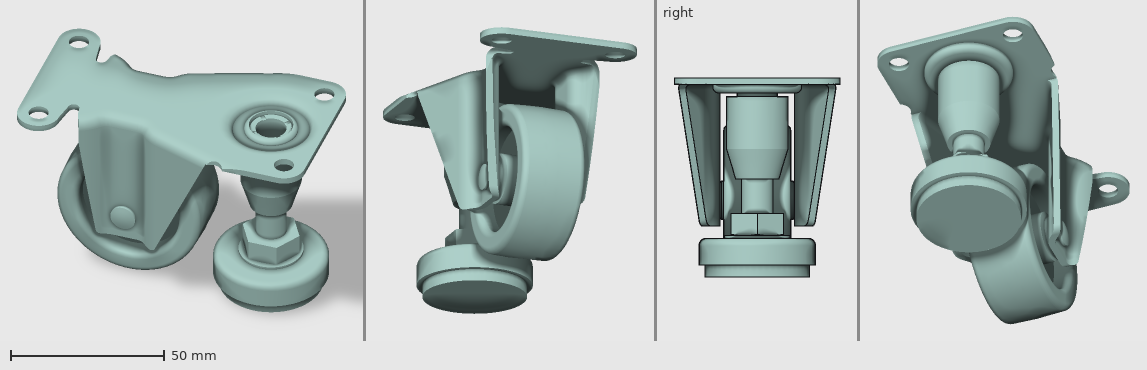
import cadquery as cq
import math


plate_top = 65.0
sheet = 2.2
plate_bottom = plate_top - sheet
half_width = 27.0
corner_radius = 7.1
hole_radius = 3.3
rear_hole_x = -27.4
front_hole_x = 57.3
hole_y = half_width - corner_radius
plate_rear = rear_hole_x - corner_radius
plate_front = front_hole_x + corner_radius

slot_x = -17.5
slot_radius = 1.9
slot_round_y = 13.8

notch_x = 34.9
notch_y = 28.7
notch_radius = 3.9

bend_radius = 4.0
bend_inner_radius = bend_radius - sheet
bend_line_y = 10.3
leg_outer_y = bend_line_y + bend_radius
leg_inner_y = leg_outer_y - sheet
waist_half_length = 4.5
waist_radius = 8.1
waist_turn = 48
front_turn_radius = 8.2
front_heading = 19.3
rear_turn_radius = 12.5
rear_heading = 22
leg_bottom = 16.6
leg_top = plate_top - bend_radius
leg_corner_radius = 3.0
leg_rear_top_x = -14.3
leg_rear_bottom_x = -8.4
leg_front_top_x = 32.1
leg_front_bottom_x = 11.6

foot_x = 45.9
dish_radius = 17.1
dish_floor_radius = 12.5
dish_wall_radius = 14.5
dish_depth = 2.8
dish_floor = plate_top - dish_depth
dish_underside_fillet = 2.0

wheel_radius = 25.0
axle_z = wheel_radius
wheel_half_width = 10.9
tread_half_width = 9.0
tread_edge_radius = 24.7
tyre_side_radius = 22.6
rim_side_radius = 19.5
rim_inner_radius = 17.4
web_half_thickness = 5.0
hub_radius = 8.3
hub_half_width = 10.3
boss_radius = 6.3
boss_chamfer = 0.5
axle_radius = 3.0
head_radius = 4.3
head_rim = 1.1
head_height = 1.9

sleeve_radius = 10.0
sleeve_top = 58.8
cone_top = 41.7
sleeve_bottom = 31.9
cone_end_radius = 7.1
neck_radius = 6.6
collar_radius = 8.8
collar_rim_radius = 7.3
collar_height = 2.0
lip_radius = 6.8
lip_inner_height = 0.6
lip_outer_height = 0.9
groove_height = 0.3
slit_width = 1.5
slit_count = 4

bolt_radius = 5.1
bolt_top = 44.7
hex_flats = 17.0
hex_bottom = 13.5
hex_top = 20.8
hex_chamfer = 0.4
flange_radius = 10.6
cap_radius = 19.0
cap_bottom = 3.9
cap_top = 12.6
cap_fillet = 2.4
pad_radius = 17.1


def straight(point, heading, length):
    """End of a straight run."""
    angle = math.radians(heading)
    return (point[0] + length * math.cos(angle), point[1] + length * math.sin(angle))


def turn(point, heading, new_heading, radius):
    """Middle and end of a tangent arc that swings from one heading to another."""
    side = math.copysign(1, new_heading - heading)
    centre = straight(point, heading + side * 90, radius)
    middle = straight(centre, (heading + new_heading) / 2 - side * 90, radius)
    end = straight(centre, new_heading - side * 90, radius)
    return middle, end


waist_centre = (0, bend_line_y)
waist_end = (waist_half_length, bend_line_y)
waist_mid, waist_out = turn(waist_end, 0, waist_turn, waist_radius)
front_mid, front_out = turn(waist_out, waist_turn, front_heading, front_turn_radius)
front_run = (half_width - front_out[1]) / math.sin(math.radians(front_heading))
front_end = straight(front_out, front_heading, front_run)
rear_mid, rear_out = turn(waist_out, waist_turn, rear_heading, rear_turn_radius)


def opposite(point):
    """The same point on the rear side of the waist."""
    return (-point[0], point[1])


def make_plate_half():
    """Flat part of the plate on the +Y side, bounded by the bend line."""
    slot_left = slot_x - slot_radius
    slot_right = slot_x + slot_radius
    corner_reach = corner_radius * math.sqrt(0.5)
    return (
        cq.Workplane("XY", origin=(0, 0, plate_bottom))
        .moveTo(plate_rear, 0)
        .lineTo(plate_rear, hole_y)
        .threePointArc((rear_hole_x, half_width), (rear_hole_x + corner_radius, hole_y))
        .lineTo(slot_left, slot_round_y)
        .threePointArc((slot_x, slot_round_y - slot_radius), (slot_right, slot_round_y))
        .lineTo(*opposite(rear_out))
        .threePointArc(opposite(rear_mid), opposite(waist_out))
        .threePointArc(opposite(waist_mid), opposite(waist_end))
        .lineTo(*waist_end)
        .threePointArc(waist_mid, waist_out)
        .threePointArc(front_mid, front_out)
        .lineTo(*front_end)
        .lineTo(front_hole_x, half_width)
        .threePointArc(
            (front_hole_x + corner_reach, hole_y + corner_reach), (plate_front, hole_y)
        )
        .lineTo(plate_front, 0)
        .close()
        .extrude(sheet)
    )


def start_bend_path(second_mid, second_end):
    """Bend line from the waist centre through its two arcs."""
    return (
        cq.Workplane("XY", origin=(0, 0, plate_top))
        .moveTo(*waist_centre)
        .lineTo(*waist_end)
        .threePointArc(waist_mid, waist_out)
        .threePointArc(second_mid, second_end)
    )


def sweep_leg_section(path):
    """Quarter-round bend and the wall below it, swept along the bend line."""
    bend_centre_z = plate_top - bend_radius
    outer_reach = bend_radius * math.sqrt(0.5)
    inner_reach = bend_inner_radius * math.sqrt(0.5)
    return (
        cq.Workplane("YZ")
        .moveTo(bend_line_y, plate_top)
        .threePointArc(
            (bend_line_y + outer_reach, bend_centre_z + outer_reach), (leg_outer_y, bend_centre_z)
        )
        .lineTo(leg_outer_y, leg_bottom)
        .lineTo(leg_inner_y, leg_bottom)
        .lineTo(leg_inner_y, bend_centre_z)
        .threePointArc(
            (bend_line_y + inner_reach, bend_centre_z + inner_reach), (bend_line_y, plate_bottom)
        )
        .close()
        .sweep(path.wire())
    )


def make_leg_outline():
    """Side outline of a leg: tapered below the bend, and only sheet deep in front of it."""
    return (
        cq.Workplane("XZ")
        .polyline([
            (plate_rear, plate_top),
            (plate_front, plate_top),
            (plate_front, plate_bottom),
            (leg_front_top_x, plate_bottom),
            (leg_front_bottom_x, leg_bottom),
            (leg_rear_bottom_x, leg_bottom),
            (leg_rear_top_x, leg_top),
            (plate_rear, leg_top),
        ])
        .close()
        .extrude(-half_width)
        .edges("|Y and <Z")
        .fillet(leg_corner_radius)
    )


def make_leg():
    """Leg on the +Y side."""
    front_wing = sweep_leg_section(start_bend_path(front_mid, front_out).lineTo(*front_end))
    rear_wing = sweep_leg_section(start_bend_path(rear_mid, rear_out)).mirror("YZ")
    notch = (
        cq.Workplane("XY", origin=(notch_x, notch_y, leg_top))
        .circle(notch_radius)
        .extrude(bend_radius)
    )
    return front_wing.union(rear_wing).intersect(make_leg_outline()).cut(notch)


def make_dish():
    """Ring-shaped dish: a rounded rim above, a straight wall with a rounded edge below."""
    reach = dish_radius - dish_floor_radius
    rim_arc = (reach**2 + dish_depth**2) / (2 * dish_depth)
    half_angle = math.asin(reach / rim_arc) / 2
    rim_mid = (
        dish_radius - rim_arc * math.sin(half_angle),
        plate_top - rim_arc * (1 - math.cos(half_angle)),
    )
    underside = dish_floor - sheet
    underside_radius = dish_wall_radius - dish_underside_fillet
    fillet_reach = dish_underside_fillet * math.sqrt(0.5)
    fillet_centre_z = underside + dish_underside_fillet
    return (
        cq.Workplane("XZ", origin=(foot_x, 0, 0))
        .moveTo(neck_radius, dish_floor)
        .lineTo(dish_floor_radius, dish_floor)
        .threePointArc(rim_mid, (dish_radius, plate_top))
        .lineTo(dish_radius, plate_bottom)
        .lineTo(dish_wall_radius, plate_bottom)
        .lineTo(dish_wall_radius, fillet_centre_z)
        .threePointArc(
            (underside_radius + fillet_reach, fillet_centre_z - fillet_reach),
            (underside_radius, underside),
        )
        .lineTo(neck_radius, underside)
        .close()
        .revolve(360, (0, 0, 0), (0, 1, 0))
    )


def make_bracket():
    half = make_plate_half().union(make_leg())
    bracket = half.union(half.mirror("XZ"))
    dish_opening = (
        cq.Workplane("XY", origin=(foot_x, 0, plate_bottom)).circle(dish_radius).extrude(sheet)
    )
    bracket = bracket.cut(dish_opening).union(make_dish())
    mounting_holes = (
        cq.Workplane("XY", origin=(0, 0, plate_bottom))
        .pushPoints([(x, side * hole_y) for x in (rear_hole_x, front_hole_x) for side in (-1, 1)])
        .circle(hole_radius)
        .extrude(sheet)
    )
    axle_hole = (
        cq.Workplane("XZ", origin=(0, 0, axle_z)).circle(axle_radius).extrude(leg_outer_y, both=True)
    )
    return bracket.cut(mounting_holes).cut(axle_hole)


def make_wheel():
    """Crowned wheel with a recessed web and a hub that reaches both legs."""
    rim_fillet = rim_side_radius - rim_inner_radius
    rim_fillet_reach = rim_fillet * (1 - math.sqrt(0.5))
    edge_mid = (
        tread_half_width + (wheel_half_width - tread_half_width) * math.sqrt(0.5),
        tyre_side_radius + (tread_edge_radius - tyre_side_radius) * math.sqrt(0.5),
    )
    hub_profile = [
        (web_half_thickness, rim_inner_radius),
        (web_half_thickness, hub_radius),
        (hub_half_width, hub_radius),
        (wheel_half_width, boss_radius),
        (leg_inner_y - boss_chamfer, boss_radius),
        (leg_inner_y, boss_radius - boss_chamfer),
        (leg_inner_y, axle_radius),
    ]

    def other_side(point):
        return (-point[0], point[1])

    rim_fillet_start = (wheel_half_width, rim_side_radius)
    rim_fillet_mid = (wheel_half_width - rim_fillet_reach, rim_inner_radius + rim_fillet_reach)
    rim_fillet_end = (wheel_half_width - rim_fillet, rim_inner_radius)
    tyre_side = (wheel_half_width, tyre_side_radius)
    tread_edge = (tread_half_width, tread_edge_radius)
    outline = (
        cq.Workplane("YX")
        .moveTo(*other_side(tread_edge))
        .threePointArc((0, wheel_radius), tread_edge)
        .threePointArc(edge_mid, tyre_side)
        .lineTo(*rim_fillet_start)
        .threePointArc(rim_fillet_mid, rim_fillet_end)
    )
    for point in hub_profile:
        outline = outline.lineTo(*point)
    for point in reversed(hub_profile):
        outline = outline.lineTo(*other_side(point))
    return (
        outline.lineTo(*other_side(rim_fillet_end))
        .threePointArc(other_side(rim_fillet_mid), other_side(rim_fillet_start))
        .lineTo(*other_side(tyre_side))
        .threePointArc(other_side(edge_mid), other_side(tread_edge))
        .close()
        .revolve(360, (0, 0, 0), (1, 0, 0))
        .translate((0, 0, axle_z))
    )


def make_axle():
    """Rivet with a domed head outside each leg."""
    dome_height = head_height - head_rim
    dome_radius = (head_radius**2 + dome_height**2) / (2 * dome_height)
    half_angle = math.asin(head_radius / dome_radius) / 2
    tip_y = leg_outer_y + head_height
    dome_mid = (
        tip_y - dome_radius * (1 - math.cos(half_angle)),
        dome_radius * math.sin(half_angle),
    )
    half = (
        cq.Workplane("YX")
        .moveTo(0, 0)
        .lineTo(0, axle_radius)
        .lineTo(leg_outer_y, axle_radius)
        .lineTo(leg_outer_y, head_radius)
        .lineTo(leg_outer_y + head_rim, head_radius)
        .threePointArc(dome_mid, (tip_y, 0))
        .close()
        .revolve(360, (0, 0, 0), (1, 0, 0))
    )
    return half.union(half.mirror("XZ")).translate((0, 0, axle_z))


def make_sleeve():
    """Sleeve clinched into the dish by a rounded collar, with a slit lip inside it."""
    collar_top = dish_floor + collar_height
    round_width = collar_radius - collar_rim_radius
    collar_mid = (
        collar_rim_radius + round_width * math.sqrt(0.5),
        dish_floor + collar_height * math.sqrt(0.5),
    )
    sleeve = (
        cq.Workplane("XZ")
        .moveTo(bolt_radius, sleeve_bottom)
        .lineTo(cone_end_radius, sleeve_bottom)
        .lineTo(sleeve_radius, cone_top)
        .lineTo(sleeve_radius, sleeve_top)
        .lineTo(neck_radius, sleeve_top)
        .lineTo(neck_radius, dish_floor)
        .lineTo(collar_radius, dish_floor)
        .threePointArc(collar_mid, (collar_rim_radius, collar_top))
        .lineTo(collar_rim_radius, dish_floor + groove_height)
        .lineTo(lip_radius, dish_floor + groove_height)
        .lineTo(lip_radius, dish_floor + lip_outer_height)
        .lineTo(bolt_radius, dish_floor + lip_inner_height)
        .close()
        .revolve(360, (0, 0, 0), (0, 1, 0))
    )
    for index in range(slit_count):
        slit = (
            cq.Workplane("XY", origin=(0, 0, dish_floor + groove_height))
            .center(lip_radius / 2, 0)
            .rect(lip_radius, slit_width)
            .extrude(collar_height)
            .rotate((0, 0, 0), (0, 0, 1), (index + 0.5) * 360 / slit_count)
        )
        sleeve = sleeve.cut(slit)
    return sleeve.translate((foot_x, 0, 0))


def make_bolt():
    """Flanged hexagon with the round shank above it."""
    hex_corners = hex_flats / math.cos(math.radians(30))
    hexagon = (
        cq.Workplane("XY", origin=(0, 0, hex_bottom))
        .polygon(6, hex_corners)
        .extrude(hex_top - hex_bottom)
    )
    rounded_corners = (
        cq.Workplane("XY", origin=(0, 0, hex_bottom))
        .circle(hex_corners / 2)
        .extrude(hex_top - hex_bottom)
        .faces("<Z")
        .chamfer(hex_chamfer, hex_corners / 2 - hex_flats / 2)
    )
    flange = (
        cq.Workplane("XY", origin=(0, 0, cap_top))
        .circle(flange_radius)
        .extrude(hex_bottom - cap_top)
    )
    shank = (
        cq.Workplane("XY", origin=(0, 0, hex_top)).circle(bolt_radius).extrude(bolt_top - hex_top)
    )
    bolt = hexagon.intersect(rounded_corners).union(flange).union(shank)
    return bolt.translate((foot_x, 0, 0))


def make_cap():
    return (
        cq.Workplane("XY", origin=(foot_x, 0, cap_bottom))
        .circle(cap_radius)
        .extrude(cap_top - cap_bottom)
        .faces(">Z")
        .edges()
        .fillet(cap_fillet)
    )


def make_pad():
    return cq.Workplane("XY", origin=(foot_x, 0, 0)).circle(pad_radius).extrude(cap_bottom)


bracket = make_bracket()
wheel = make_wheel()
axle = make_axle()
sleeve = make_sleeve()
bolt = make_bolt()
cap = make_cap()
pad = make_pad()

result = cq.Compound.makeCompound([
    bracket.val(),
    wheel.val(),
    axle.val(),
    sleeve.val(),
    bolt.val(),
    cap.val(),
    pad.val(),
])